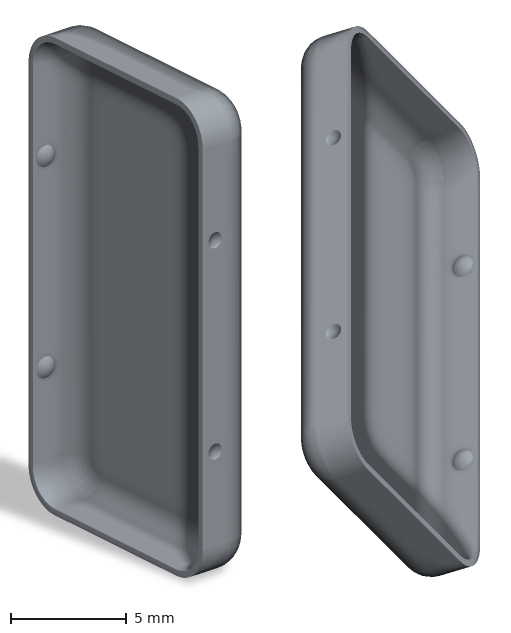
import math

import cadquery as cq

width = 11.9
depth = 2.8
height = 22.6

wall = 0.3
corner_radius = 1.8
back_edge_radius = 1.2

detent_spacing = 10.0
detent_from_mouth = 0.7
detent_depth = 0.2
dimple_sphere_radius = 0.45

bump_sphere_radius = dimple_sphere_radius + wall

mouth_y = -depth / 2


def rounded_block(block_width, block_depth, block_height, corner, back_radius):
    """Block reaching back from the mouth plane, with rounded corners and a rounded back rim."""
    block = (
        cq.Workplane("XZ", origin=(0, mouth_y, 0))
        .rect(block_width, block_height)
        .extrude(-block_depth)
    )
    return block.edges("|Y").fillet(corner).faces(">Y").edges().fillet(back_radius)


def shell():
    """Open tray: the outer block less a cavity that follows it one wall thickness inside."""
    outside = rounded_block(width, depth, height, corner_radius, back_edge_radius)
    cavity = rounded_block(
        width - 2 * wall,
        depth - wall,
        height - 2 * wall,
        corner_radius - wall,
        back_edge_radius - wall,
    )
    return outside.cut(cavity)


def spherical_plug(face_x, side, sphere_radius, root_length, z):
    """Plug along X whose spherical cap rises inward from face_x, on a round root reaching outward."""
    distance_to_face = sphere_radius - detent_depth
    base_radius = math.sqrt(sphere_radius ** 2 - distance_to_face ** 2)
    half_angle = math.acos(distance_to_face / sphere_radius) / 2
    centre_x = face_x + side * distance_to_face
    arc_middle = (
        centre_x - side * sphere_radius * math.cos(half_angle),
        sphere_radius * math.sin(half_angle),
    )
    root_x = face_x + side * root_length
    return (
        cq.Workplane("XY", origin=(0, mouth_y + detent_from_mouth, z))
        .moveTo(root_x, 0)
        .lineTo(root_x, base_radius)
        .lineTo(face_x, base_radius)
        .threePointArc(arc_middle, (face_x - side * detent_depth, 0))
        .close()
        .revolve(360, (0, 0, 0), (1, 0, 0))
    )


def add_detent(body, side, z):
    """Emboss one detent; side is -1 for the -X wall and +1 for the +X wall."""
    outer_face = side * width / 2
    inner_face = outer_face - side * wall
    bump = spherical_plug(inner_face, side, bump_sphere_radius, wall / 2, z)
    dimple = spherical_plug(outer_face, side, dimple_sphere_radius, wall, z)
    return body.union(bump).cut(dimple)


result = shell()
for wall_side in (-1, 1):
    for detent_z in (-detent_spacing / 2, detent_spacing / 2):
        result = add_detent(result, wall_side, detent_z)